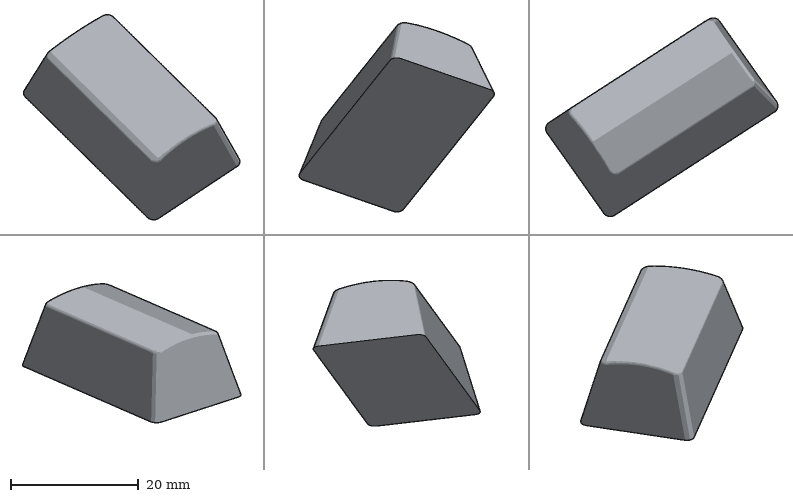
import cadquery as cq

length = 32.6
width = 18.3
height = 11.4

draft_angle = 14
corner_radius = 1.27

crown_radius = 21.85
rim_radius = 0.6


def tapered_body():
    """Four-sided tapered block with rounded slanted corner edges."""
    block = cq.Workplane("XY").rect(length, width).extrude(height, taper=draft_angle)
    return block.edges("not #Z").fillet(corner_radius)


def crown_cylinder():
    """Cylinder along X whose highest line lies at the full height."""
    return (
        cq.Workplane("YZ")
        .center(0, height - crown_radius)
        .circle(crown_radius)
        .extrude(length / 2, both=True)
    )


crowned = tapered_body().intersect(crown_cylinder())

result = crowned.faces(">Z").edges().fillet(rim_radius)